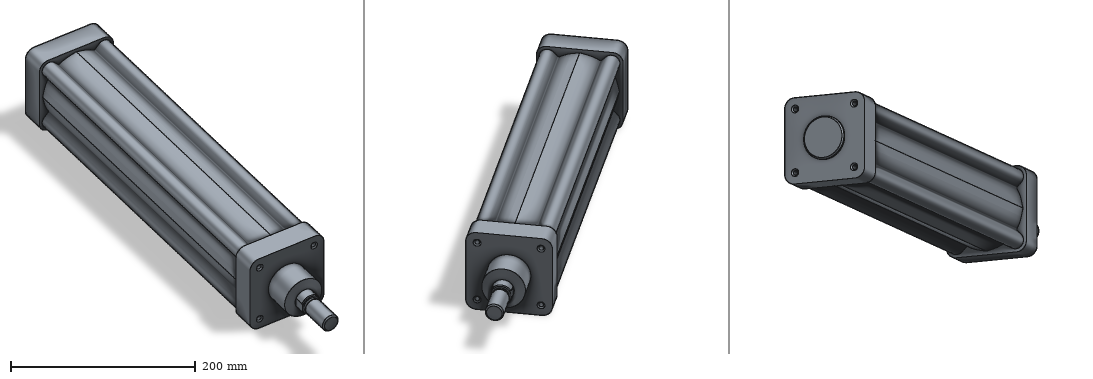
import cadquery as cq
import math

TOTAL_LENGTH = 536.0
CAP_LENGTH = 28.0
TUBE_LENGTH = 389.0
REAR_BOSS_LENGTH = 4.0
FRONT_BOSS_LENGTH = 32.0
FRONT_CONE_LENGTH = 2.5

REAR_CAP_X = REAR_BOSS_LENGTH
TUBE_X = REAR_CAP_X + CAP_LENGTH
FRONT_CAP_X = TUBE_X + TUBE_LENGTH
FRONT_FACE_X = FRONT_CAP_X + CAP_LENGTH

CAP_SIDE = 96.0
CAP_CORNER_RADIUS = 12.0
BOSS_RADIUS = 24.0
REAR_BOSS_CHAMFER = 1.5
BOLT_OFFSET = 35.5
BOLT_HOLE_RADIUS = 2.5
BOLT_HOLE_CHAMFER = 1.5
COUNTERSINK_ANGLE = 90

BARREL_RADIUS = 43.0
RIDGE_SLOPE = math.radians(12.5)
LOBE_RADIUS = 9.0
LOBE_FILLET = 1.5

ROD_RADIUS = 12.5
ROD_FLATS_LENGTH = 13.0
ROD_ACROSS_FLATS = 22.0
ROD_CHAMFER = 1.0
UNDERCUT_RADIUS = 9.0
UNDERCUT_LENGTH = 2.5
THREAD_RADIUS = 10.0
THREAD_CHAMFER = 1.5

CONE_X = FRONT_FACE_X + FRONT_BOSS_LENGTH
FLATS_X = CONE_X + FRONT_CONE_LENGTH
UNDERCUT_X = FLATS_X + ROD_FLATS_LENGTH
THREAD_X = UNDERCUT_X + UNDERCUT_LENGTH


def disc(x, radius, length):
    """A cylinder on the X axis from x to x + length."""
    return cq.Workplane("YZ", origin=(x, 0, 0)).circle(radius).extrude(length)


def make_cap_block(x, outer_face):
    """A square block from x to x + CAP_LENGTH with bolt holes countersunk on outer_face ("<X" or ">X")."""
    return (
        cq.Workplane("YZ", origin=(x, 0, 0))
        .rect(CAP_SIDE, CAP_SIDE)
        .extrude(CAP_LENGTH)
        .edges("|X")
        .fillet(CAP_CORNER_RADIUS)
        .faces(outer_face)
        .workplane()
        .rect(2 * BOLT_OFFSET, 2 * BOLT_OFFSET, forConstruction=True)
        .vertices()
        .cskHole(2 * BOLT_HOLE_RADIUS, 2 * (BOLT_HOLE_RADIUS + BOLT_HOLE_CHAMFER), COUNTERSINK_ANGLE)
    )


def make_rear_cap():
    """The rear cap with its low chamfered boss."""
    boss = disc(0, BOSS_RADIUS, REAR_BOSS_LENGTH).faces("<X").chamfer(REAR_BOSS_CHAMFER)
    return make_cap_block(REAR_CAP_X, "<X").union(boss)


def make_front_cap():
    """The front cap with its boss and conical nose, bored through for the piston rod."""
    boss = (
        cq.Workplane("XY")
        .moveTo(FRONT_FACE_X, 0)
        .lineTo(FRONT_FACE_X, BOSS_RADIUS)
        .lineTo(CONE_X, BOSS_RADIUS)
        .lineTo(FLATS_X, ROD_RADIUS)
        .lineTo(FLATS_X, 0)
        .close()
        .revolve(360, (0, 0, 0), (1, 0, 0))
    )
    bore = disc(FRONT_CAP_X, ROD_RADIUS, FLATS_X - FRONT_CAP_X)
    return make_cap_block(FRONT_CAP_X, ">X").union(boss).cut(bore)


def about_axis(shape, degrees):
    """The shape turned about the X axis."""
    return shape.rotate((0, 0, 0), (1, 0, 0), degrees)


def make_ridge():
    """The +Z ridge: two planes tangent to the barrel that meet on the middle of its side."""
    peak = BARREL_RADIUS / math.cos(RIDGE_SLOPE)
    tangent_height = BARREL_RADIUS * math.cos(RIDGE_SLOPE)
    tangent_offset = BARREL_RADIUS * math.sin(RIDGE_SLOPE)
    return (
        cq.Workplane("YZ", origin=(TUBE_X, 0, 0))
        .lineTo(tangent_offset, tangent_height)
        .lineTo(0, peak)
        .lineTo(-tangent_offset, tangent_height)
        .close()
        .extrude(TUBE_LENGTH)
    )


def make_lobe():
    """A corner lobe: a round-ended bar from the axis out to a bolt position."""
    distance = BOLT_OFFSET * math.sqrt(2)
    upright_lobe = (
        cq.Workplane("YZ", origin=(TUBE_X, 0, 0))
        .center(0, distance / 2)
        .slot2D(distance + 2 * LOBE_RADIUS, 2 * LOBE_RADIUS, 90)
        .extrude(TUBE_LENGTH)
    )
    return about_axis(upright_lobe, 45)


def make_tube():
    """The profiled tube between the caps, with its inner corners rounded along the lobes."""
    tube = disc(TUBE_X, BARREL_RADIUS, TUBE_LENGTH)
    ridge = make_ridge()
    lobe = make_lobe()
    for turn in (0, 90, 180, 270):
        tube = tube.union(about_axis(ridge, turn)).union(about_axis(lobe, turn))

    middle_x = TUBE_X + TUBE_LENGTH / 2
    half_lobe_angle = math.asin(LOBE_RADIUS / BARREL_RADIUS)
    for lobe_angle in (45, 135, 225, 315):
        for flank in (-1, 1):
            angle = math.radians(lobe_angle) + flank * half_lobe_angle
            corner = (middle_x, BARREL_RADIUS * math.cos(angle), BARREL_RADIUS * math.sin(angle))
            tube = tube.edges(cq.selectors.NearestToPointSelector(corner)).fillet(LOBE_FILLET)
    return tube


def make_rod():
    """The piston rod: plain shank, wrench flats, undercut and threaded end."""
    shank = disc(FRONT_CAP_X, ROD_RADIUS, UNDERCUT_X - FRONT_CAP_X).faces(">X").chamfer(ROD_CHAMFER)
    flat_cutter = cq.Workplane("XY").box(ROD_FLATS_LENGTH, ROD_RADIUS, 2 * ROD_RADIUS)
    cutter_x = FLATS_X + ROD_FLATS_LENGTH / 2
    cutter_y = (ROD_ACROSS_FLATS + ROD_RADIUS) / 2
    for side in (-1, 1):
        shank = shank.cut(flat_cutter.translate((cutter_x, side * cutter_y, 0)))
    undercut = disc(UNDERCUT_X, UNDERCUT_RADIUS, UNDERCUT_LENGTH)
    thread = disc(THREAD_X, THREAD_RADIUS, TOTAL_LENGTH - THREAD_X).edges().chamfer(THREAD_CHAMFER)
    return shank.union(undercut).union(thread)


rear_cap = make_rear_cap()
tube = make_tube()
front_cap = make_front_cap()
rod = make_rod()

result = cq.Compound.makeCompound([rear_cap.val(), tube.val(), front_cap.val(), rod.val()])